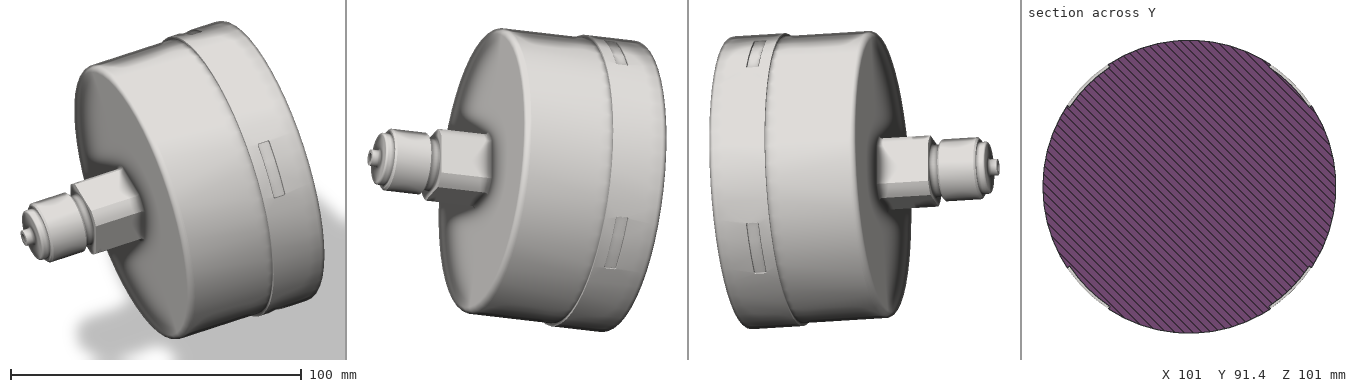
import cadquery as cq
import math


BEZEL_RADIUS = 50.5
BEZEL_DEPTH = 19.8
CASE_RADIUS = 49.5
BODY_DEPTH = 51.1
RIM_ROUND = 2.0
CASE_DEPTH = BODY_DEPTH - BEZEL_DEPTH

INSERT_COUNT = 4
FIRST_INSERT_ANGLE = 45.0
POCKET_LENGTH = 19.8
POCKET_WIDTH = 4.4
POCKET_CORNER = 0.5
POCKET_DEPTH = 1.0
POCKET_FLOOR_RADIUS = BEZEL_RADIUS - POCKET_DEPTH
INSERT_FROM_FRONT = 13.7
INSERT_SUNK = 0.4
INSERT_GAP = 0.3

BLOCK_ACROSS_FLATS = 21.5
BLOCK_CORNER_RADIUS = 12.7
BLOCK_END = 18.0
FOOT_FLARE = 1.0

NECK_RADIUS = 9.0
NECK_FILLET = 0.4
COLLAR_START = 21.0
COLLAR_END = 34.4
COLLAR_RADIUS = 10.7
COLLAR_CHAMFER = 0.6
SPIGOT_RADIUS = 9.0
SPIGOT_END = 37.3
SPIGOT_ROUND = 0.7
NOZZLE_RADIUS = 2.8
NOZZLE_FILLET = 0.6
CONNECTOR_LENGTH = 40.3
BORE_RADIUS = 1.6


def disc(radius, start, end):
    """Cylinder on the gauge axis from Y = start to the lower Y = end."""
    plane = cq.Workplane("XZ", origin=(0, start, 0))
    return plane.circle(radius).extrude(start - end)


def rim_bar(gap, inner_radius, outer_radius):
    """Round-cornered bar at angle zero, cut to a radial band and smaller than the pocket by a gap."""
    centre_y = BODY_DEPTH - INSERT_FROM_FRONT
    bar = (
        cq.Workplane("YZ", origin=(0, centre_y, 0))
        .rect(POCKET_WIDTH - 2 * gap, POCKET_LENGTH - 2 * gap)
        .extrude(2 * BEZEL_RADIUS)
        .edges("|X")
        .fillet(POCKET_CORNER)
    )
    band = disc(outer_radius, BODY_DEPTH, CASE_DEPTH).cut(disc(inner_radius, BODY_DEPTH, CASE_DEPTH))
    return bar.intersect(band)


def around_rim(blank):
    """Copies of a blank at every insert position."""
    step = 360 / INSERT_COUNT
    angles = [FIRST_INSERT_ANGLE + i * step for i in range(INSERT_COUNT)]
    return [blank.rotate((0, 0, 0), (0, 1, 0), angle) for angle in angles]


def make_case():
    return disc(CASE_RADIUS, CASE_DEPTH, 0).faces("<Y").edges().fillet(RIM_ROUND)


def make_bezel():
    bezel = disc(BEZEL_RADIUS, BODY_DEPTH, CASE_DEPTH).faces(">Y").edges().fillet(RIM_ROUND)
    pocket = rim_bar(0, POCKET_FLOOR_RADIUS, BEZEL_RADIUS + POCKET_DEPTH)
    for placed_pocket in around_rim(pocket):
        bezel = bezel.cut(placed_pocket)
    return bezel


def make_inserts():
    return around_rim(rim_bar(INSERT_GAP, POCKET_FLOOR_RADIUS, BEZEL_RADIUS - INSERT_SUNK))


def flared_half_profile(half_width):
    """Half of the block's lengthwise section, with a concave round at the foot."""
    flare_mid = FOOT_FLARE * (1 - math.sqrt(0.5))
    return (
        cq.Workplane("XY")
        .lineTo(half_width + FOOT_FLARE, 0)
        .threePointArc((half_width + flare_mid, -flare_mid), (half_width, -FOOT_FLARE))
        .lineTo(half_width, -BLOCK_END)
        .lineTo(0, -BLOCK_END)
        .close()
    )


def make_block():
    """Square bar with turned corners: two crossed flat bars within a round one, all flared."""
    half_bar = flared_half_profile(BLOCK_ACROSS_FLATS / 2).extrude(BLOCK_CORNER_RADIUS * 2, both=True)
    bar = half_bar.union(half_bar.mirror("YZ"))
    crossed_bar = bar.rotate((0, 0, 0), (0, 1, 0), 90)
    round_bar = flared_half_profile(BLOCK_CORNER_RADIUS).revolve(360, (0, 0, 0), (0, 1, 0))
    return bar.intersect(crossed_bar).intersect(round_bar)


def make_turned_end():
    """Neck, collar, spigot and nozzle as one turned profile."""
    fillet_mid = NECK_FILLET * (1 - math.sqrt(0.5))
    spigot_mid = SPIGOT_ROUND * (1 - math.sqrt(0.5))
    nozzle_mid = NOZZLE_FILLET * (1 - math.sqrt(0.5))
    profile = (
        cq.Workplane("XY")
        .moveTo(0, -BLOCK_END)
        .lineTo(NECK_RADIUS + NECK_FILLET, -BLOCK_END)
        .threePointArc(
            (NECK_RADIUS + fillet_mid, -BLOCK_END - fillet_mid),
            (NECK_RADIUS, -BLOCK_END - NECK_FILLET),
        )
        .lineTo(NECK_RADIUS, -COLLAR_START + NECK_FILLET)
        .threePointArc(
            (NECK_RADIUS + fillet_mid, -COLLAR_START + fillet_mid),
            (NECK_RADIUS + NECK_FILLET, -COLLAR_START),
        )
        .lineTo(COLLAR_RADIUS - COLLAR_CHAMFER, -COLLAR_START)
        .lineTo(COLLAR_RADIUS, -COLLAR_START - COLLAR_CHAMFER)
        .lineTo(COLLAR_RADIUS, -COLLAR_END + COLLAR_CHAMFER)
        .lineTo(COLLAR_RADIUS - COLLAR_CHAMFER, -COLLAR_END)
        .lineTo(SPIGOT_RADIUS, -COLLAR_END)
        .lineTo(SPIGOT_RADIUS, -SPIGOT_END + SPIGOT_ROUND)
        .threePointArc(
            (SPIGOT_RADIUS - spigot_mid, -SPIGOT_END + spigot_mid),
            (SPIGOT_RADIUS - SPIGOT_ROUND, -SPIGOT_END),
        )
        .lineTo(NOZZLE_RADIUS + NOZZLE_FILLET, -SPIGOT_END)
        .threePointArc(
            (NOZZLE_RADIUS + nozzle_mid, -SPIGOT_END - nozzle_mid),
            (NOZZLE_RADIUS, -SPIGOT_END - NOZZLE_FILLET),
        )
        .lineTo(NOZZLE_RADIUS, -CONNECTOR_LENGTH)
        .lineTo(0, -CONNECTOR_LENGTH)
        .close()
    )
    return profile.revolve(360, (0, 0, 0), (0, 1, 0))


def make_connector():
    bore = disc(BORE_RADIUS, 0, -CONNECTOR_LENGTH)
    return make_block().union(make_turned_end()).cut(bore)


case = make_case()
bezel = make_bezel()
connector = make_connector()
inserts = make_inserts()

result = cq.Compound.makeCompound(
    [case.val(), bezel.val(), connector.val()] + [insert.val() for insert in inserts]
)